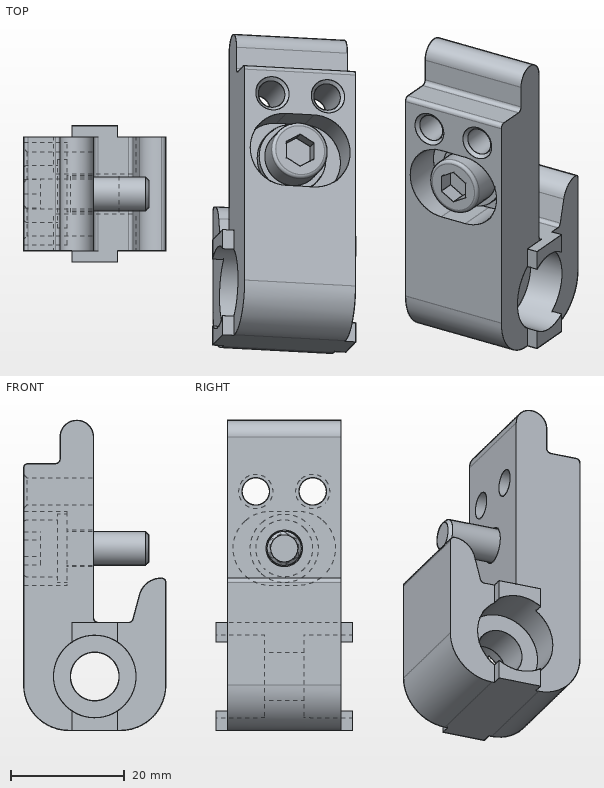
import cadquery as cq
import math

depth = 25.0
width = 20.0
height = 54.5
bottom_radius = 8.0
back_wall = 12.3
shoulder_height = 46.9
nose_thickness = 5.9
shoulder_outer_radius = 0.8
shoulder_inner_radius = 0.8

slot_floor = 19.0
slot_corner_radius = 0.8
hook_height = 26.8
hook_tip_radius = 0.8
hook_nose_radius = 4.0
hook_slope = math.radians(15.0)

bore_x = depth / 2
bore_z = slot_floor / 2
bore_diameter = 8.5
counterbore_diameter = 14.5
counterbore_depth = 6.5
lug_width = 8.0
lug_projection = 2.0

tapped_hole_diameter = 4.77
tapped_hole_mouth = 6.0
tapped_hole_spacing = 10.0
tapped_hole_z = 42.0

screw_z = 32.0
screw_diameter = 6.0
screw_length = 16.0
screw_tip_chamfer = (screw_diameter - tapped_hole_diameter) / 2
head_diameter = 10.0
head_height = 6.0
head_edge_radius = 0.6
socket_width = 5.0
socket_depth = 3.0
flange_diameter = 12.0
flange_thickness = 1.6

recess_length = 18.0
recess_height = 13.0
recess_depth = head_height + flange_thickness
clearance_diameter = 6.4


def face_plane(x, z):
    """Sketch plane at depth x facing +X, with local x along +Y and local y along +Z."""
    return cq.Workplane("YZ", origin=(x, 0, z))


def housing_profile():
    """Side outline of the housing, in X and Z, with its corner rounds."""
    nose_radius = nose_thickness / 2
    nose_x = back_wall - nose_thickness
    nose_base = height - nose_radius
    bend = math.sqrt(0.5)

    def quarter(center_x, center_z, radius, side_x, side_z):
        return (center_x + side_x * radius * bend, center_z + side_z * radius * bend)

    outer = shoulder_outer_radius
    inner = shoulder_inner_radius
    corner = slot_corner_radius
    tip = hook_tip_radius

    nose_center_x = depth - tip
    nose_center_z = hook_height - hook_nose_radius
    slope_top = (
        nose_center_x - hook_nose_radius * math.cos(hook_slope),
        nose_center_z + hook_nose_radius * math.sin(hook_slope),
    )
    nose_mid_angle = (math.pi / 2 + math.pi - hook_slope) / 2
    nose_mid = (
        nose_center_x + hook_nose_radius * math.cos(nose_mid_angle),
        nose_center_z + hook_nose_radius * math.sin(nose_mid_angle),
    )

    foot_x = slope_top[0] - (slope_top[1] - slot_floor) * math.tan(hook_slope)
    foot_turn = math.pi / 2 - hook_slope
    foot_center_x = foot_x - corner * math.tan(foot_turn / 2)
    foot_center_z = slot_floor + corner

    def foot_point(turn):
        return (foot_center_x + corner * math.sin(turn), foot_center_z - corner * math.cos(turn))

    return (
        cq.Workplane("XZ")
        .moveTo(0, bottom_radius)
        .lineTo(0, shoulder_height - outer)
        .threePointArc(quarter(outer, shoulder_height - outer, outer, -1, 1), (outer, shoulder_height))
        .lineTo(nose_x - inner, shoulder_height)
        .threePointArc(
            quarter(nose_x - inner, shoulder_height + inner, inner, 1, -1),
            (nose_x, shoulder_height + inner),
        )
        .lineTo(nose_x, nose_base)
        .threePointArc((nose_x + nose_radius, height), (back_wall, nose_base))
        .lineTo(back_wall, slot_floor + corner)
        .threePointArc(
            quarter(back_wall + corner, slot_floor + corner, corner, -1, -1),
            (back_wall + corner, slot_floor),
        )
        .lineTo(*foot_point(0))
        .threePointArc(foot_point(foot_turn / 2), foot_point(foot_turn))
        .lineTo(*slope_top)
        .threePointArc(nose_mid, (nose_center_x, hook_height))
        .threePointArc(quarter(depth - tip, hook_height - tip, tip, 1, 1), (depth, hook_height - tip))
        .lineTo(depth, bottom_radius)
        .threePointArc(
            quarter(depth - bottom_radius, bottom_radius, bottom_radius, 1, -1),
            (depth - bottom_radius, 0),
        )
        .lineTo(bottom_radius, 0)
        .threePointArc(quarter(bottom_radius, bottom_radius, bottom_radius, -1, -1), (0, bottom_radius))
        .close()
    )


def lug_bar():
    """Bar across the housing whose ends stand out as lugs on both sides."""
    return cq.Workplane("XY").box(lug_width, width + 2 * lug_projection, slot_floor).translate(
        (bore_x, 0, bore_z)
    )


def cross_bore():
    """Through bore along Y, counterbored from both sides."""
    total_width = width + 2 * lug_projection
    web = width - 2 * counterbore_depth
    bore = (
        cq.Workplane("XZ", origin=(bore_x, 0, bore_z))
        .circle(bore_diameter / 2)
        .extrude(total_width / 2, both=True)
    )
    for side in (-1, 1):
        counterbore = (
            cq.Workplane("XZ", origin=(bore_x, side * web / 2, bore_z))
            .circle(counterbore_diameter / 2)
            .extrude(-side * (total_width - web) / 2)
        )
        bore = bore.union(counterbore)
    return bore


def tapped_holes():
    """Two through holes in the wall, each with a 45 degree countersunk mouth."""
    mouth_depth = (tapped_hole_mouth - tapped_hole_diameter) / 2
    places = [(-tapped_hole_spacing / 2, 0), (tapped_hole_spacing / 2, 0)]
    holes = (
        face_plane(0, tapped_hole_z)
        .pushPoints(places)
        .circle(tapped_hole_diameter / 2)
        .extrude(back_wall)
    )
    mouths = (
        face_plane(0, tapped_hole_z)
        .pushPoints(places)
        .circle(tapped_hole_mouth / 2)
        .extrude(mouth_depth, taper=45)
    )
    return holes.union(mouths)


def screw_recess():
    """Obround recess for the screw head, with the clearance hole through the wall."""
    recess = face_plane(0, screw_z).slot2D(recess_length, recess_height).extrude(recess_depth)
    clearance = face_plane(0, screw_z).circle(clearance_diameter / 2).extrude(back_wall)
    return recess.union(clearance)


def make_housing():
    body = housing_profile().extrude(width / 2, both=True)
    return body.union(lug_bar()).cut(cross_bore()).cut(tapped_holes()).cut(screw_recess())


def make_screw():
    """Socket head screw along X, its head flush with the flat back face."""
    head = face_plane(0, screw_z).circle(head_diameter / 2).extrude(head_height)
    head = head.faces("<X").edges().fillet(head_edge_radius)
    flange = face_plane(head_height, screw_z).circle(flange_diameter / 2).extrude(flange_thickness)
    shank = face_plane(head_height, screw_z).circle(screw_diameter / 2).extrude(screw_length)
    shank = shank.faces(">X").edges().chamfer(screw_tip_chamfer)
    socket_corner_diameter = socket_width / math.cos(math.pi / 6)
    socket = (
        face_plane(0, screw_z)
        .transformed(rotate=(0, 0, 90))
        .polygon(6, socket_corner_diameter)
        .extrude(socket_depth)
    )
    return head.union(flange).union(shank).cut(socket)


housing = make_housing()
screw = make_screw()

result = cq.Compound.makeCompound([housing.val(), screw.val()])